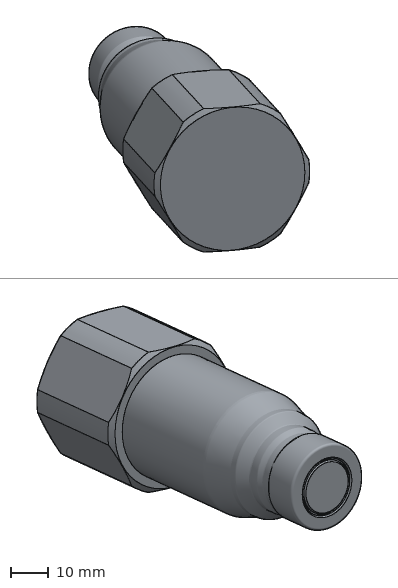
import cadquery as cq

total_length = 97.6
nut_start = 65.4
neck_groove_start = 9.8
neck_floor_start = 10.9
neck_floor_end = 13.4
neck_groove_end = 14.6
collar_cone_start = 17.6
collar_start = 20.2
collar_end = 22.3
body_start = 30.5

nose_radius = 12.1
neck_radius = 11.0
collar_radius = 15.0
body_radius = 17.5

nose_edge_fillet = 0.7
profile_fillet = 0.5
body_shoulder_fillet = 2.9

across_flats = 40.0
corner_diameter = 42.9
hexagon_turn = 30.0
nut_face_radius = 19.9
front_chamfer_length = 1.1
rear_chamfer_length = 0.8

valve_radius = 7.5
gap_width = 0.5
gap_depth = 1.0
gap_chamfer = 0.4


def revolve_about_x(points):
    """Revolve a closed (x, radius) outline around the X axis."""
    return cq.Workplane("XY").polyline(points).close().revolve(360, (0, 0, 0), (1, 0, 0))


def circular_edges_at(body, x, radius):
    """Pick the circular edges lying at one position and radius."""
    reach = radius + 0.1
    selector = cq.selectors.BoxSelector(
        (x - 0.01, -reach, -reach), (x + 0.01, reach, reach), boundingbox=True
    )
    return body.edges(selector)


def make_body():
    """Turned nose, neck groove, collar and main cylinder."""
    corners = [
        (neck_groove_start, nose_radius),
        (neck_floor_start, neck_radius),
        (neck_floor_end, neck_radius),
        (neck_groove_end, nose_radius),
        (collar_cone_start, nose_radius),
        (collar_start, collar_radius),
        (collar_end, collar_radius),
    ]
    outline = [(0, 0), (0, nose_radius)] + corners
    outline += [(body_start, body_radius), (nut_start, body_radius), (nut_start, 0)]
    body = revolve_about_x(outline)
    body = circular_edges_at(body, 0, nose_radius).fillet(nose_edge_fillet)
    for x, radius in corners:
        body = circular_edges_at(body, x, radius).fillet(profile_fillet)
    return circular_edges_at(body, body_start, body_radius).fillet(body_shoulder_fillet)


def make_nut():
    """Hexagon with flats up and down, its corners turned and chamfered."""
    hexagon = (
        cq.Workplane("YZ", origin=(nut_start, 0, 0))
        .polygon(6, across_flats, circumscribed=True)
        .extrude(total_length - nut_start)
        .rotate((0, 0, 0), (1, 0, 0), hexagon_turn)
    )
    corner_radius = corner_diameter / 2
    envelope = revolve_about_x([
        (nut_start, 0),
        (nut_start, nut_face_radius),
        (nut_start + front_chamfer_length, corner_radius),
        (total_length - rear_chamfer_length, corner_radius),
        (total_length, nut_face_radius),
        (total_length, 0),
    ])
    return hexagon.intersect(envelope)


def make_valve_gap():
    """Narrow ring groove with both rims chamfered."""
    gap_outer_radius = valve_radius + gap_width
    return revolve_about_x([
        (0, valve_radius - gap_chamfer),
        (gap_chamfer, valve_radius),
        (gap_depth, valve_radius),
        (gap_depth, gap_outer_radius),
        (gap_chamfer, gap_outer_radius),
        (0, gap_outer_radius + gap_chamfer),
    ])


result = make_body().union(make_nut()).cut(make_valve_gap())